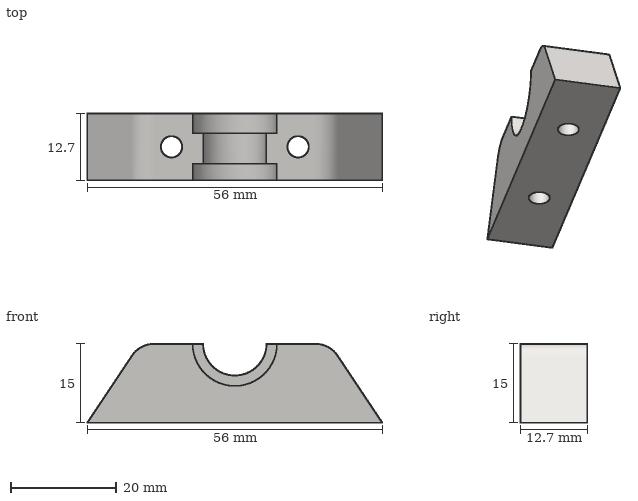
import cadquery as cq

base_length = 56.0
top_length = 36.0
height = 15.0
width = 12.7
shoulder_radius = 5.0

bore_diameter = 12.0
seat_diameter = 16.0
front_seat_depth = 3.1
rear_seat_depth = 3.8

screw_hole_diameter = 4.0
screw_hole_spacing = 24.0

front_y = -width / 2
rear_y = width / 2


def make_block():
    """Trapezoidal block with rounded upper shoulders."""
    block = (
        cq.Workplane("XZ", origin=(0, rear_y, 0))
        .moveTo(-base_length / 2, 0)
        .lineTo(base_length / 2, 0)
        .lineTo(top_length / 2, height)
        .lineTo(-top_length / 2, height)
        .close()
        .extrude(width)
    )
    shoulders = block.faces(">Z").edges("|Y")
    return shoulders.fillet(shoulder_radius)


def saddle_cutter(diameter, start_y, length):
    """Cylinder along +Y from start_y, with its axis on the top face."""
    return (
        cq.Workplane("XZ", origin=(0, start_y, height))
        .circle(diameter / 2)
        .extrude(-length)
    )


def screw_hole_cutters():
    """Vertical cylinders through the full height."""
    half_spacing = screw_hole_spacing / 2
    return (
        cq.Workplane("XY")
        .pushPoints([(-half_spacing, 0), (half_spacing, 0)])
        .circle(screw_hole_diameter / 2)
        .extrude(height)
    )


result = (
    make_block()
    .cut(saddle_cutter(bore_diameter, front_y, width))
    .cut(saddle_cutter(seat_diameter, front_y, front_seat_depth))
    .cut(saddle_cutter(seat_diameter, rear_y - rear_seat_depth, rear_seat_depth))
    .cut(screw_hole_cutters())
)